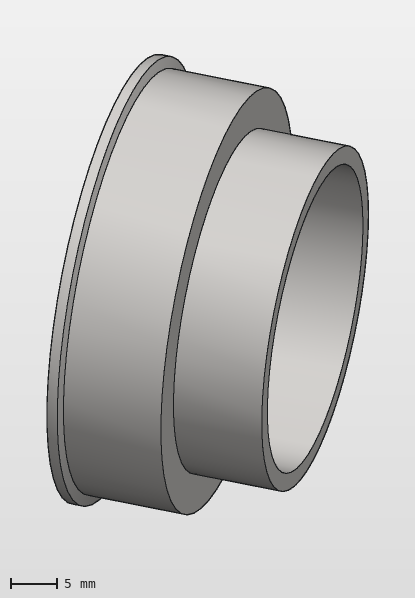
import cadquery as cq

total_length = 22.5
flange_diameter = 49.5
body_diameter = 47.0
spigot_diameter = 38.0
bore_diameter = 34.0
rim_thickness = 1.2
flange_thickness = 1.5
shoulder_position = 12.5

flange_radius = flange_diameter / 2
body_radius = body_diameter / 2
spigot_radius = spigot_diameter / 2
bore_radius = bore_diameter / 2

half_section = (
    cq.Workplane("XY")
    .moveTo(0, bore_radius)
    .lineTo(0, flange_radius)
    .lineTo(rim_thickness, flange_radius)
    .lineTo(flange_thickness, body_radius)
    .lineTo(shoulder_position, body_radius)
    .lineTo(shoulder_position, spigot_radius)
    .lineTo(total_length, spigot_radius)
    .lineTo(total_length, bore_radius)
    .close()
)

result = half_section.revolve(360, (0, 0, 0), (1, 0, 0))